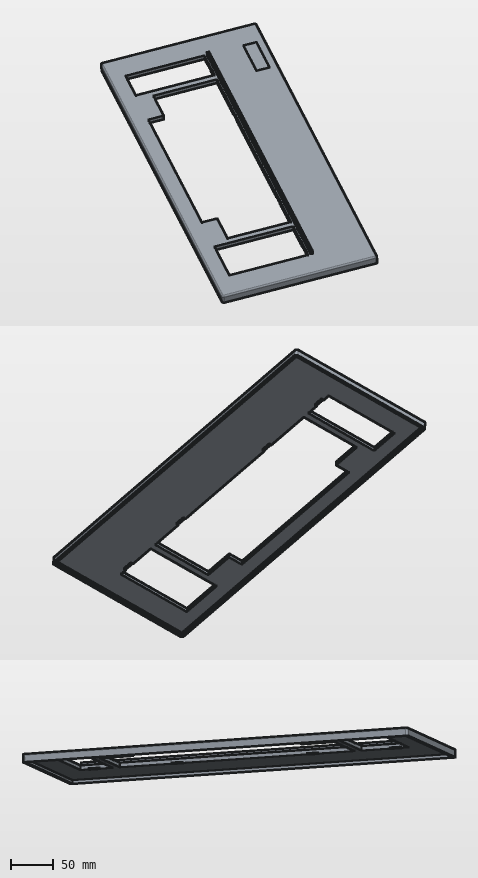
import cadquery as cq
import math

length = 470.0
depth = 191.0
height = 10.0
rear_rise = 15.0
top_radius = 2.0
corner_radius = 3.0

panel_thickness = 5.5
rim_thickness = 3.0

side_margin = 35.0
window_front = 20.0
window_rear = 116.5
bar_width = 9.0
left_window_width = 39.0
right_window_width = 57.5
step_width = 40.0
step_depth = 19.0

notch_offsets = (82.5, 184.0)
notch_width = 13.0
notch_height = 1.5
notch_depth = 3.0

rib_gap = 3.5
rib_width = 3.0
rib_height = 3.8

label_length = 50.8
label_width = 16.0
label_front = 164.5
label_recess = 0.25

tilt_angle = math.degrees(math.asin(rear_rise / depth))
panel_bottom = height - panel_thickness
right_end = length - side_margin


def block(x_start, x_end, y_start, y_end, z_start, z_end):
    """Box given by its limits along each axis."""
    return cq.Workplane("XY").box(
        x_end - x_start, y_end - y_start, z_end - z_start, centered=False
    ).translate((x_start, y_start, z_start))


def make_shell():
    """Tray with rounded upper edges and corners, open underneath."""
    shell = block(0, length, 0, depth, 0, height)
    shell = shell.edges("|Z").fillet(corner_radius)
    shell = shell.faces(">Z").edges().fillet(top_radius)
    cavity = block(
        rim_thickness, length - rim_thickness,
        rim_thickness, depth - rim_thickness,
        0, panel_bottom,
    )
    return shell.cut(cavity)


def make_windows():
    """Two plain side windows and a centre window with stepped front corners."""
    left_end = side_margin + left_window_width
    right_start = right_end - right_window_width
    center_start = left_end + bar_width
    center_end = right_start - bar_width
    step_rear = window_front + step_depth
    windows = block(side_margin, left_end, window_front, window_rear, 0, height)
    windows = windows.union(block(right_start, right_end, window_front, window_rear, 0, height))
    windows = windows.union(block(center_start, center_end, step_rear, window_rear, 0, height))
    return windows.union(
        block(center_start + step_width, center_end - step_width, window_front, step_rear, 0, height)
    )


def make_notches():
    """Row of notches in the lower rear edge of the windows."""
    notches = cq.Workplane("XY")
    centers = [length / 2 + side * offset for side in (-1, 1) for offset in notch_offsets]
    for center in centers:
        notches = notches.union(
            block(
                center - notch_width / 2, center + notch_width / 2,
                window_rear, window_rear + notch_depth,
                panel_bottom, panel_bottom + notch_height,
            )
        )
    return notches


def make_rib():
    """Straight rib standing on the panel, as long as the row of windows."""
    rib_front = window_rear + rib_gap
    return block(
        side_margin, right_end, rib_front, rib_front + rib_width, panel_bottom, height + rib_height
    )


def make_label():
    """Thin rectangular pocket for a label."""
    return block(
        side_margin, side_margin + label_length,
        label_front, label_front + label_width,
        height - label_recess, height,
    )


cover = make_shell().cut(make_windows()).cut(make_notches()).union(make_rib()).cut(make_label())
result = cover.rotate((0, 0, 0), (1, 0, 0), tilt_angle)